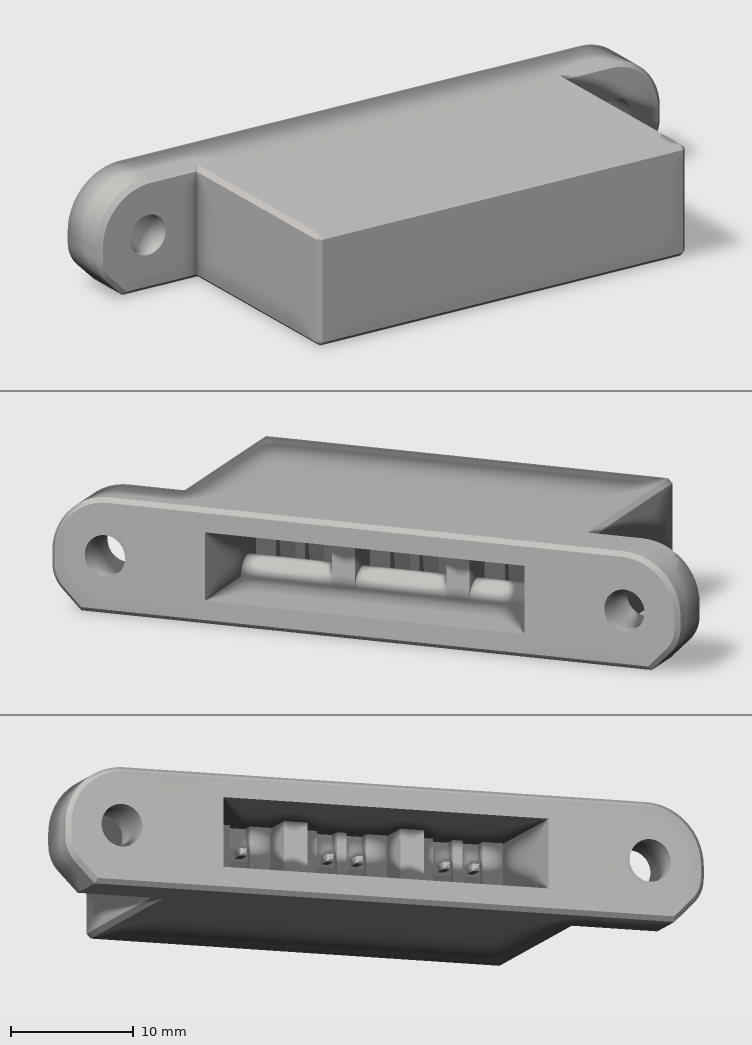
import cadquery as cq
import math


length = 55.0
height = 9.8
depth = 23.0
flange_thickness = 5.0
body_length = 35.95
edge_chamfer = 0.4
top_corner_radius = 5.0
bottom_corner_cut = 2.55
bottom_blend_radius = 2.95
screw_hole_diameter = 3.5
screw_hole_spacing = 45.5

connector_count = 3
connector_pitch = 10.0
bay_width = 8.0
bay_height = 5.8
opening_depth = 8.0
rear_wall = 2.0
retainer_radius = 1.55

side_clearance = 0.08
contact_pitch = 2.55
contact_offsets = (-contact_pitch / 2, contact_pitch / 2)
slot_width = 1.7
ridge_recess = 0.55
ridge_depth = 0.65
ridge_tip_height = 1.05
ridge_tip_center_z = 0.55
pin_size = 0.6
pin_length = 1.65
pin_tip_chamfer = 0.15

bay_centers = [(i - (connector_count - 1) / 2) * connector_pitch for i in range(connector_count)]
opening_length = bay_centers[-1] - bay_centers[0] + bay_width
bay_end = depth - rear_wall
connector_front = opening_depth + 2 * retainer_radius
connector_width = bay_width - 2 * side_clearance
slot_floor = connector_front + ridge_recess + ridge_depth


def block(x_start, x_end, y_size, z_size, y_center=0.0):
    """Box between two X positions, centred on Z = 0."""
    box = cq.Workplane("XY").box(x_end - x_start, y_size, z_size, centered=(False, True, True))
    return box.translate((x_start, y_center, 0))


def make_flange():
    """Ear plate with large round upper corners and blended, cut lower corners."""
    half_length = length / 2
    top = height / 2
    bottom = -height / 2
    arc_center_y = half_length - top_corner_radius
    arc_center_z = top - top_corner_radius
    arc_mid = top_corner_radius * math.sin(math.radians(45))
    plate = (
        cq.Workplane("YZ")
        .moveTo(half_length - bottom_corner_cut, bottom)
        .lineTo(half_length, bottom + bottom_corner_cut)
        .lineTo(half_length, arc_center_z)
        .threePointArc((arc_center_y + arc_mid, arc_center_z + arc_mid), (arc_center_y, top))
        .lineTo(-arc_center_y, top)
        .threePointArc((-arc_center_y - arc_mid, arc_center_z + arc_mid), (-half_length, arc_center_z))
        .lineTo(-half_length, bottom + bottom_corner_cut)
        .lineTo(-half_length + bottom_corner_cut, bottom)
        .close()
        .extrude(flange_thickness)
    )
    blend_z = bottom + bottom_corner_cut
    blend_corners = cq.selectors.BoxSelector(
        (0, -length, blend_z - edge_chamfer),
        (flange_thickness, length, blend_z + edge_chamfer),
    )
    plate = plate.edges("|X").edges(blend_corners).fillet(bottom_blend_radius)
    return plate.faces("<X or >X").edges().chamfer(edge_chamfer)


def make_body():
    """Box behind the flange, chamfered along its length and around its rear face."""
    body = block(flange_thickness - edge_chamfer, depth, body_length, height)
    return body.edges("|X or >X").chamfer(edge_chamfer)


def make_retainer(y_center):
    """Half-round ridge on the bay floor, in front of a connector."""
    ridge = (
        cq.Workplane("XZ")
        .center(opening_depth + retainer_radius, -bay_height / 2)
        .circle(retainer_radius)
        .extrude(bay_width)
        .translate((0, y_center + bay_width / 2, 0))
    )
    return ridge.intersect(block(opening_depth, connector_front, bay_width, bay_height, y_center))


def make_housing():
    housing = make_flange().union(make_body())
    screw_holes = (
        cq.Workplane("YZ")
        .pushPoints([(-screw_hole_spacing / 2, 0), (screw_hole_spacing / 2, 0)])
        .circle(screw_hole_diameter / 2)
        .extrude(flange_thickness)
    )
    housing = housing.cut(screw_holes)
    housing = housing.cut(block(0, opening_depth, opening_length, bay_height))
    for y_center in bay_centers:
        housing = housing.cut(block(opening_depth, bay_end, bay_width, bay_height, y_center))
        housing = housing.union(make_retainer(y_center))
    return housing


def make_contact(y_center):
    """Ridge inside a slot, sloping back above and below a flat tip, with a square pin."""
    tip_x = connector_front + ridge_recess
    tip_top = ridge_tip_center_z + ridge_tip_height / 2
    tip_bottom = ridge_tip_center_z - ridge_tip_height / 2
    ridge = (
        cq.Workplane("XZ")
        .moveTo(slot_floor, bay_height / 2)
        .lineTo(tip_x, tip_top)
        .lineTo(tip_x, tip_bottom)
        .lineTo(slot_floor, -bay_height / 2)
        .close()
        .extrude(slot_width)
        .translate((0, slot_width / 2, 0))
    )
    pin = (
        block(tip_x - pin_length, slot_floor, pin_size, pin_size)
        .faces("<X")
        .chamfer(pin_tip_chamfer)
        .translate((0, 0, ridge_tip_center_z))
    )
    return ridge.union(pin).translate((0, y_center, 0))


def make_connector(y_center):
    """Two-way connector: a block with a full-height slot around each contact."""
    connector = block(connector_front, bay_end, connector_width, bay_height)
    for offset in contact_offsets:
        connector = connector.cut(block(connector_front, slot_floor, slot_width, bay_height, offset))
        connector = connector.union(make_contact(offset))
    return connector.translate((0, y_center, 0))


housing = make_housing()
connectors = [make_connector(y_center).solids().val() for y_center in bay_centers]

result = cq.Compound.makeCompound([housing.solids().val(), *connectors])